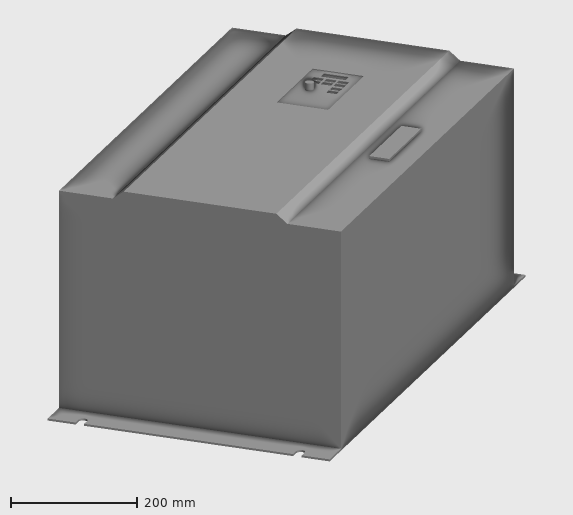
import cadquery as cq

width = 480.0
plate_length = 849.0
plate_thickness = 3.0
mount_x = 185.0
hole_y = 412.0
hole_diameter = 13.0
slot_width = 14.5
slot_depth = 21.0

body_length = 750.5
shoulder_height = 373.5
cover_height = 388.0
slope_bottom_x = 148.5
slope_top_x = 130.0

label_width = 34.0
label_length = 139.0
label_thickness = 5.0
label_x = 185.0

panel_width = 87.5
panel_length = 155.0
panel_y = 147.0
panel_depth = 2.0
panel_floor = cover_height - panel_depth

pocket_depth = 2.5
pocket_floor = panel_floor - pocket_depth
display_width = 42.5
display_length = 14.5
display_y = 209.0
button_width = 18.0
button_length = 11.0
button_pitch_x = 21.0
full_row_places = [190.0, 177.0]
single_row_places = [160.5, 146.0]

knob_diameter = 14.5
knob_x = -17.0
knob_y = 143.5
overall_height = 399.0


def block(size_x, size_y, size_z, x, y, bottom):
    """Box centred on (x, y) that stands on the height `bottom`."""
    return cq.Workplane("XY").box(size_x, size_y, size_z, centered=(True, True, False)).translate((x, y, bottom))


def make_plate():
    plate = block(width, plate_length, plate_thickness, 0, 0, 0)
    holes = (
        cq.Workplane("XY")
        .pushPoints([(-mount_x, hole_y), (mount_x, hole_y)])
        .circle(hole_diameter / 2)
        .extrude(plate_thickness)
    )
    plate = plate.cut(holes)
    front_y = -plate_length / 2
    radius = slot_width / 2
    arc_start_y = front_y + slot_depth - radius
    for x in (-mount_x, mount_x):
        slot = (
            cq.Workplane("XY")
            .moveTo(x - radius, front_y)
            .lineTo(x - radius, arc_start_y)
            .threePointArc((x, front_y + slot_depth), (x + radius, arc_start_y))
            .lineTo(x + radius, front_y)
            .close()
            .extrude(plate_thickness)
        )
        plate = plate.cut(slot)
    return plate


def make_housing():
    profile = [
        (-width / 2, 0),
        (-width / 2, shoulder_height),
        (-slope_bottom_x, shoulder_height),
        (-slope_top_x, cover_height),
        (slope_top_x, cover_height),
        (slope_bottom_x, shoulder_height),
        (width / 2, shoulder_height),
        (width / 2, 0),
    ]
    return cq.Workplane("XZ").polyline(profile).close().extrude(body_length / 2, both=True)


def make_button_pocket(column, y):
    x = column * button_pitch_x
    return block(button_width, button_length, pocket_depth, x, y, pocket_floor)


def add_control_panel(part):
    part = part.cut(block(panel_width, panel_length, panel_depth, 0, panel_y, panel_floor))
    part = part.cut(block(display_width, display_length, pocket_depth, 0, display_y, pocket_floor))
    for y in full_row_places:
        for column in (-1, 0, 1):
            part = part.cut(make_button_pocket(column, y))
    for y in single_row_places:
        part = part.cut(make_button_pocket(1, y))
    knob = (
        cq.Workplane("XY", origin=(knob_x, knob_y, panel_floor))
        .circle(knob_diameter / 2)
        .extrude(overall_height - panel_floor)
    )
    return part.union(knob)


label = block(label_width, label_length, label_thickness, label_x, 0, shoulder_height)
result = add_control_panel(make_plate().union(make_housing()).union(label))